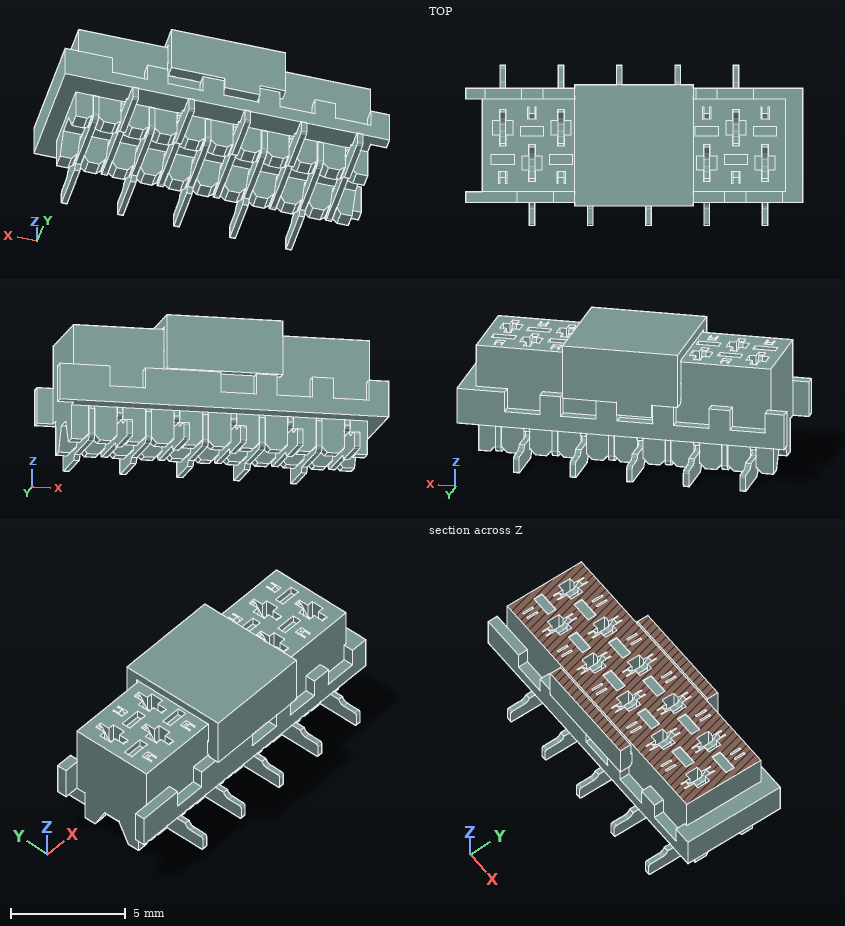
import cadquery as cq
import math


body_length = 13.23
body_half_width = 2.01
body_bottom = 0.22
body_top = 5.23
shoulder_z = 1.73
keel_half_width = 1.56
channel_bottom_half_width = 0.95
channel_top_half_width = 0.41
channel_top = 1.26

contact_count = 10
contact_row_length = 11.44
contact_pitch = contact_row_length / (contact_count - 1)
contact_thickness = 0.25
contact_half_span = 1.66
stem_inner = 0.45
stem_bevel = 0.09
foot_stem_bevel_drop = 0.26
heel_stem_bevel_drop = 0.13
heel_radius = 0.26
bar_top = 0.97
foot_tip = 3.5
foot_top = 0.75
foot_step = 2.48
foot_step_run = 0.28
foot_heel = 1.38
foot_heel_run = 0.19
foot_top_radius = 0.12
foot_bottom_radius = 0.09
undercut_radius = 0.13

relief_mouth_half = 0.38
relief_top_half = 0.16
relief_height = 0.24

socket_y = 0.76
socket_depth = 2.2
slot_length = 1.6
slot_width = 0.3
cross_width = 0.88
cross_length = 0.62
tulip_mouth_half = 0.69
tulip_bend_half = 0.38
tulip_floor_half = 0.15
tulip_rim_drop = 0.12
tulip_slope = math.radians(55)

key_y = 0.62
key_width = 1.01
key_length = 0.43
key_depth = 0.35
leg_pocket_width = 0.37
leg_pocket_inner = 1.15
leg_pocket_outer = 1.66
leg_pocket_depth = 0.88
leg_face = 1.4
leg_ramp_drop = 0.18

frame_left = -7.34
frame_right = 7.36
frame_half_width = 2.5
frame_top = 3.34
notch_floor = 2.44
notch_width = 1.59
front_notches = (-4.3, 0.65, 3.16, 5.69)
latch_notch = -0.63
rear_notches = (-5.69, -3.16, latch_notch, 1.91, 4.42)

cap_length = 5.17
cap_half_width = 2.65
cap_top = 5.75
cap_ceiling = 5.32
cap_inner_half_width = 2.07
grip_top = 4.23
grip_bottom = 3.51
cap_mouth_half_width = 2.13
latch_bottom = 2.76


def block(x_range, y_range, z_range):
    """Box between the given limits, in either order."""
    x0, x1 = sorted(x_range)
    y0, y1 = sorted(y_range)
    z0, z1 = sorted(z_range)
    return cq.Workplane("XY").box(x1 - x0, y1 - y0, z1 - z0, centered=False).translate((x0, y0, z0))


def across(points, x, width):
    """Outline of (y, z) points, extruded along X and centred on x."""
    return cq.Workplane("YZ").polyline(points).close().extrude(width / 2, both=True).translate((x, 0, 0))


def mirrored(points):
    """Close an outline by repeating its points with the first coordinate negated."""
    return points + [(-a, b) for a, b in reversed(points)]


def make_housing():
    outline = mirrored([
        (channel_top_half_width, channel_top),
        (channel_bottom_half_width, body_bottom),
        (keel_half_width, body_bottom),
        (keel_half_width, shoulder_z),
        (body_half_width, shoulder_z),
        (body_half_width, body_top),
    ])
    return across(outline, 0, body_length)


def make_frame():
    """Two notched rails along the housing, joined by a wall at the +X end."""
    frame = block((frame_left, frame_right), (-frame_half_width, frame_half_width), (shoulder_z, frame_top))
    frame = frame.cut(block(
        (frame_left, body_length / 2), (-body_half_width, body_half_width), (shoulder_z, frame_top)))
    for side, places in ((-1, front_notches), (1, rear_notches)):
        for x in places:
            frame = frame.cut(block(
                (x - notch_width / 2, x + notch_width / 2),
                (side * body_half_width, side * frame_half_width),
                (notch_floor, frame_top)))
    return frame


def make_cap():
    """Pick-up cap whose side walls grip the housing and rest on the frame."""
    outer = block((-cap_length / 2, cap_length / 2), (-cap_half_width, cap_half_width), (frame_top, cap_top))
    hollow = mirrored([
        (cap_mouth_half_width, frame_top),
        (body_half_width, grip_bottom),
        (body_half_width, grip_top),
        (cap_inner_half_width, grip_top),
        (cap_inner_half_width, cap_ceiling),
    ])
    latch = block(
        (latch_notch - notch_width / 2, latch_notch + notch_width / 2),
        (cap_inner_half_width, cap_half_width),
        (latch_bottom, frame_top))
    return outer.cut(across(hollow, 0, cap_length)).union(latch)


def along_x(sketch, x):
    """Extrude a closed (y, z) outline to the contact thickness, centred on x."""
    return sketch.close().extrude(contact_thickness / 2, both=True).translate((x, 0, 0))


def make_bar(x, side):
    """Bar across the keel, with a round heel on the side away from the foot."""
    bar = block(
        (x - contact_thickness / 2, x + contact_thickness / 2),
        (-contact_half_span, contact_half_span),
        (body_bottom, bar_top))
    heel = bar.faces("<Y" if side > 0 else ">Y").edges("|X").edges("<Z")
    return bar.newObject(heel.vals()).fillet(heel_radius)


def make_foot(x, side):
    """Solder foot with a hollow step on top and a rounded tip."""
    heel_top = side * (foot_heel - foot_heel_run)
    tip = side * foot_tip
    foot = along_x(
        cq.Workplane("YZ")
        .moveTo(heel_top, body_bottom)
        .lineTo(side * foot_heel, 0)
        .lineTo(tip, 0)
        .lineTo(tip, foot_top)
        .lineTo(side * (foot_step + foot_step_run), foot_top)
        .tangentArcPoint((side * foot_step, bar_top), relative=False)
        .lineTo(heel_top, bar_top),
        x)
    tip_face = ">Y" if side > 0 else "<Y"
    foot = foot.newObject(foot.faces(tip_face).edges("|X").edges(">Z").vals()).fillet(foot_top_radius)
    return foot.newObject(foot.faces(tip_face).edges("|X").edges("<Z").vals()).fillet(foot_bottom_radius)


def make_stem(x, end, bevel_drop):
    """Upright part of the contact at one end of the bar."""
    return across([
        (end * stem_inner, bar_top),
        (end * contact_half_span, bar_top),
        (end * contact_half_span, shoulder_z - bevel_drop),
        (end * (contact_half_span - stem_bevel), shoulder_z),
        (end * stem_inner, shoulder_z),
    ], x, contact_thickness)


def make_contact(x, side):
    contact = make_bar(x, side).union(make_foot(x, side))
    contact = contact.union(make_stem(x, side, foot_stem_bevel_drop))
    return contact.union(make_stem(x, -side, heel_stem_bevel_drop))


def make_undercut(x, side):
    """S-shaped undercut above the foot: a round nose on the stem over a round hollow."""
    nose_bottom = bar_top + 2 * undercut_radius
    nose_radius = shoulder_z - foot_stem_bevel_drop - nose_bottom
    hollow_y = contact_half_span - nose_radius
    nose_mid = nose_radius * math.sqrt(0.5)
    return along_x(
        cq.Workplane("YZ")
        .moveTo(side * contact_half_span, bar_top)
        .lineTo(side * contact_half_span, nose_bottom + nose_radius)
        .threePointArc(
            (side * (hollow_y + nose_mid), nose_bottom + nose_radius - nose_mid),
            (side * hollow_y, nose_bottom))
        .threePointArc(
            (side * (hollow_y - undercut_radius), bar_top + undercut_radius),
            (side * hollow_y, bar_top)),
        x)


def make_keel_relief(x):
    """Trapezoidal notch in the bottom edges of the keel, right across Y."""
    outline = mirrored([
        (relief_mouth_half, body_bottom),
        (relief_top_half, body_bottom + relief_height),
    ])
    relief = cq.Workplane("XZ").polyline(outline).close().extrude(keel_half_width, both=True)
    return relief.translate((x, 0, 0))


def make_socket(x, side):
    """Cross-shaped opening, less the contact whose tulip mouth stands in its slot."""
    y = side * socket_y
    floor = body_top - socket_depth
    slot = block(
        (x - slot_width / 2, x + slot_width / 2),
        (y - slot_length / 2, y + slot_length / 2),
        (floor, body_top))
    cross = block(
        (x - cross_width / 2, x + cross_width / 2),
        (y - cross_length / 2, y + cross_length / 2),
        (floor, body_top))
    rim = body_top - tulip_rim_drop
    tines = block(
        (x - contact_thickness / 2, x + contact_thickness / 2),
        (y - slot_length / 2, y + slot_length / 2),
        (floor, rim))
    bend_z = rim - (tulip_mouth_half - tulip_bend_half) * math.tan(tulip_slope)
    bend_radius = (tulip_bend_half - tulip_floor_half) / math.sin(tulip_slope)
    floor_z = bend_z - bend_radius * (1 - math.cos(tulip_slope))
    bend_mid_half = tulip_floor_half + bend_radius * math.sin(tulip_slope / 2)
    bend_mid_z = floor_z + bend_radius * (1 - math.cos(tulip_slope / 2))
    mouth = along_x(
        cq.Workplane("YZ")
        .moveTo(y - tulip_mouth_half, rim)
        .lineTo(y - tulip_bend_half, bend_z)
        .threePointArc((y - bend_mid_half, bend_mid_z), (y - tulip_floor_half, floor_z))
        .lineTo(y + tulip_floor_half, floor_z)
        .threePointArc((y + bend_mid_half, bend_mid_z), (y + tulip_bend_half, bend_z))
        .lineTo(y + tulip_mouth_half, rim),
        x)
    tines = tines.cut(mouth)
    return slot.union(cross).cut(tines)


def make_key_pocket(x, side):
    return block(
        (x - key_width / 2, x + key_width / 2),
        (side * key_y - key_length / 2, side * key_y + key_length / 2),
        (body_top - key_depth, body_top))


def make_leg_pocket(x, side):
    """Pocket around the ramped top of the retention leg."""
    floor = body_top - leg_pocket_depth
    pocket = block(
        (x - leg_pocket_width / 2, x + leg_pocket_width / 2),
        (side * leg_pocket_inner, side * leg_pocket_outer),
        (floor, body_top))
    leg = across([
        (side * leg_pocket_inner, floor),
        (side * leg_pocket_outer, floor),
        (side * leg_pocket_outer, body_top),
        (side * leg_face, body_top),
        (side * leg_pocket_inner, body_top - leg_ramp_drop),
    ], x, contact_thickness)
    return pocket.cut(leg)


housing = make_housing()
contacts = []
for index in range(contact_count):
    contact_x = index * contact_pitch - contact_row_length / 2
    foot_side = 1 if index % 2 == 0 else -1
    housing = housing.cut(make_keel_relief(contact_x))
    housing = housing.cut(make_socket(contact_x, foot_side))
    housing = housing.cut(make_key_pocket(contact_x, -foot_side))
    housing = housing.cut(make_leg_pocket(contact_x, -foot_side))
    contacts.append((contact_x, foot_side))

result = housing.union(make_frame()).union(make_cap())
for contact_x, foot_side in contacts:
    result = result.union(make_contact(contact_x, foot_side))
    result = result.cut(make_undercut(contact_x, foot_side))